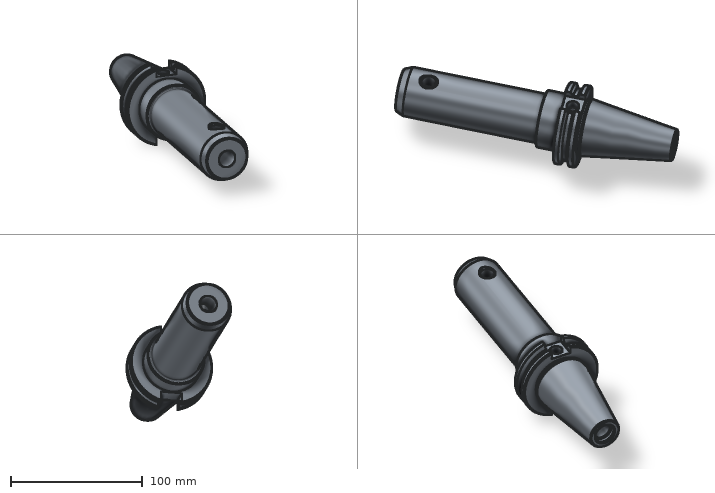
import cadquery as cq
import math

total_length = 214.3
gauge_x = 68.4
flange_start = 71.5
flange_width = 15.9
flange_end = flange_start + flange_width
flange_middle = flange_start + flange_width / 2
collar_end = 103.3

gauge_diameter = 44.4
taper_ratio = 7 / 24
taper_small_diameter = gauge_diameter - taper_ratio * gauge_x
taper_tip_chamfer = 0.6
neck_diameter = 43.5
neck_start = 69.6

flange_diameter = 63.2
flange_chamfer = 0.6
groove_bottom_diameter = 56.1
groove_bottom_width = 3.5
groove_flank_angle = 60.0
drive_slot_width = 16.0
upper_slot_floor = 24.6
lower_slot_floor = 23.0

collar_diameter = gauge_diameter
collar_chamfer = 0.6
shank_diameter = 38.1
shank_root_radius = 0.9
nose_length = 6.6
nose_blend_length = 0.6
nose_blend_drop = 0.2
nose_diameter = 33.5
nose_edge_length = 0.6
nose_face_diameter = 31.7

bore_diameter = 13.3
bore_mouth_diameter = 17.1
bore_mouth_depth = 1.3
counterbore_diameter = 15.9
counterbore_depth = 5.0

slot_hole_diameter = 9.5
slot_hole_depth = 8.5
drill_point_angle = 118.0

screw_x = 192.0
screw_diameter = 11.4
screw_mouth_diameter = 13.3
screw_mouth_height = 18.6


def make_body():
    """Revolve the outer outline about the tool axis."""
    flange_radius = flange_diameter / 2
    groove_radius = groove_bottom_diameter / 2
    shank_radius = shank_diameter / 2
    collar_radius = collar_diameter / 2
    groove_half_bottom = groove_bottom_width / 2
    flank_length = (flange_radius - groove_radius) / math.tan(math.radians(groove_flank_angle))
    groove_half_top = groove_half_bottom + flank_length
    root_middle = shank_root_radius * (1 - math.sqrt(0.5))
    outline = (
        cq.Workplane("XY")
        .moveTo(0, 0)
        .lineTo(0, taper_small_diameter / 2 - taper_tip_chamfer)
        .lineTo(taper_tip_chamfer, (taper_small_diameter + taper_ratio * taper_tip_chamfer) / 2)
        .lineTo(gauge_x, gauge_diameter / 2)
        .lineTo(neck_start, neck_diameter / 2)
        .lineTo(flange_start, neck_diameter / 2)
        .lineTo(flange_start, flange_radius - flange_chamfer)
        .lineTo(flange_start + flange_chamfer, flange_radius)
        .lineTo(flange_middle - groove_half_top, flange_radius)
        .lineTo(flange_middle - groove_half_bottom, groove_radius)
        .lineTo(flange_middle + groove_half_bottom, groove_radius)
        .lineTo(flange_middle + groove_half_top, flange_radius)
        .lineTo(flange_end - flange_chamfer, flange_radius)
        .lineTo(flange_end, flange_radius - flange_chamfer)
        .lineTo(flange_end, collar_radius)
        .lineTo(collar_end - collar_chamfer, collar_radius)
        .lineTo(collar_end, collar_radius - collar_chamfer)
        .lineTo(collar_end, shank_radius + shank_root_radius)
        .threePointArc(
            (collar_end + root_middle, shank_radius + root_middle),
            (collar_end + shank_root_radius, shank_radius),
        )
        .lineTo(total_length - nose_length, shank_radius)
        .lineTo(total_length - nose_length + nose_blend_length, shank_radius - nose_blend_drop)
        .lineTo(total_length - nose_edge_length, nose_diameter / 2)
        .lineTo(total_length, nose_face_diameter / 2)
        .lineTo(total_length, 0)
        .close()
    )
    return outline.revolve(360, (0, 0, 0), (1, 0, 0))


def make_bore():
    """Through bore with a counterbore and a conical mouth at the taper end."""
    return (
        cq.Workplane("XY")
        .lineTo(0, bore_mouth_diameter / 2)
        .lineTo(bore_mouth_depth, counterbore_diameter / 2)
        .lineTo(counterbore_depth, counterbore_diameter / 2)
        .lineTo(counterbore_depth, bore_diameter / 2)
        .lineTo(total_length, bore_diameter / 2)
        .lineTo(total_length, 0)
        .close()
        .revolve(360, (0, 0, 0), (1, 0, 0))
    )


def make_drive_slot(floor, side):
    """Slot across the flange; side is +1 above the axis and -1 below it."""
    height = flange_diameter / 2
    return (
        cq.Workplane("XY")
        .box(flange_width, drive_slot_width, height)
        .translate((flange_middle, 0, side * (floor + height / 2)))
    )


def make_slot_hole():
    """Blind drilled hole with a conical bottom."""
    radius = slot_hole_diameter / 2
    point_length = radius / math.tan(math.radians(drill_point_angle / 2))
    shoulder = upper_slot_floor - slot_hole_depth
    return (
        cq.Workplane("XZ")
        .moveTo(0, upper_slot_floor)
        .lineTo(radius, upper_slot_floor)
        .lineTo(radius, shoulder)
        .lineTo(0, shoulder - point_length)
        .close()
        .revolve(360, (0, 0, 0), (0, 1, 0))
        .translate((flange_middle, 0, 0))
    )


def make_screw_hole():
    """Radial hole down to the bore, with a 45 degree countersunk mouth."""
    radius = screw_diameter / 2
    mouth_radius = screw_mouth_diameter / 2
    top = shank_diameter / 2
    return (
        cq.Workplane("XZ")
        .lineTo(radius, 0)
        .lineTo(radius, screw_mouth_height - (mouth_radius - radius))
        .lineTo(mouth_radius + top - screw_mouth_height, top)
        .lineTo(0, top)
        .close()
        .revolve(360, (0, 0, 0), (0, 1, 0))
        .translate((screw_x, 0, 0))
    )


result = (
    make_body()
    .cut(make_bore())
    .cut(make_drive_slot(upper_slot_floor, 1))
    .cut(make_drive_slot(lower_slot_floor, -1))
    .cut(make_slot_hole())
    .cut(make_screw_hole())
)